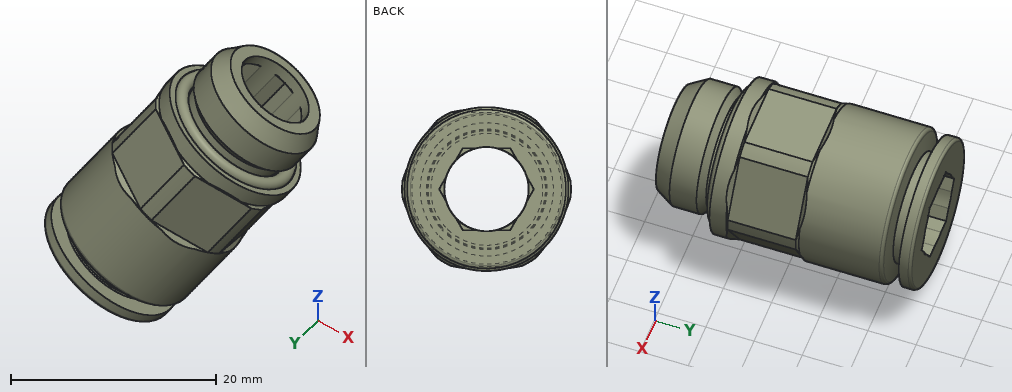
import cadquery as cq
import math

LENGTH = 27.3

THREAD_R = 6.5
TIP_CHAMFER_LENGTH = 1.8
TIP_CHAMFER_ANGLE = 30.0
THREAD_END_Y = 4.6
UNDERCUT_R = 5.77

SHOULDER_Y = 6.5
SEAL_OUTER_R = 7.3
SEAL_TUBE_R = 0.71

BODY_R = 8.0
BODY_END_Y = 24.43
BODY_EDGE_FILLET = 0.35

HEX_ACROSS_FLATS = 15.0
HEX_CORNER_R = 8.25
HEX_START_Y = 8.47
HEX_END_Y = 15.53
HEX_SIDES = 6
CUTTER_CLEARANCE = 1.0

COLLAR_NECK_R = 5.72
COLLAR_NECK_START_Y = 24.74
COLLAR_ROOT_R = 5.85
COLLAR_ROOT_LENGTH = 0.15
COLLAR_FLANGE_R = 7.75
COLLAR_FLANGE_THICKNESS = 1.25
COLLAR_EDGE_FILLET = 0.3

BORE_R = 4.1
SOCKET_ACROSS_FLATS = 8.0
SOCKET_START_Y = 1.2


def fillet_midpoint(centre, radius):
    """Middle of a quarter arc that faces outward (+radius) and forward (+Y) from its centre."""
    offset = radius * math.sqrt(0.5)
    return (centre[0] + offset, centre[1] + offset)


def turned_body():
    """Solid of revolution about Y, drawn as (radius, Y) from the tip to the collar."""
    tip_r = THREAD_R - TIP_CHAMFER_LENGTH * math.tan(math.radians(TIP_CHAMFER_ANGLE))
    undercut_y = THREAD_END_Y + THREAD_R - UNDERCUT_R
    hex_rise = HEX_CORNER_R - BODY_R
    body_top_r = BODY_R - BODY_EDGE_FILLET
    body_side_y = BODY_END_Y - BODY_EDGE_FILLET
    flange_y = LENGTH - COLLAR_FLANGE_THICKNESS
    flange_top_r = COLLAR_FLANGE_R - COLLAR_EDGE_FILLET
    flange_side_y = LENGTH - COLLAR_EDGE_FILLET

    profile = (
        cq.Workplane("XY")
        .moveTo(0, 0)
        .lineTo(tip_r, 0)
        .lineTo(THREAD_R, TIP_CHAMFER_LENGTH)
        .lineTo(THREAD_R, THREAD_END_Y)
        .lineTo(UNDERCUT_R, undercut_y)
        .lineTo(UNDERCUT_R, SHOULDER_Y)
        .lineTo(BODY_R, SHOULDER_Y)
        .lineTo(BODY_R, HEX_START_Y - hex_rise)
        .lineTo(HEX_CORNER_R, HEX_START_Y)
        .lineTo(HEX_CORNER_R, HEX_END_Y)
        .lineTo(BODY_R, HEX_END_Y + hex_rise)
        .lineTo(BODY_R, body_side_y)
        .threePointArc(
            fillet_midpoint((body_top_r, body_side_y), BODY_EDGE_FILLET),
            (body_top_r, BODY_END_Y),
        )
        .lineTo(COLLAR_NECK_R, COLLAR_NECK_START_Y)
        .lineTo(COLLAR_NECK_R, flange_y - COLLAR_ROOT_LENGTH)
        .lineTo(COLLAR_ROOT_R, flange_y)
        .lineTo(COLLAR_FLANGE_R, flange_y)
        .lineTo(COLLAR_FLANGE_R, flange_side_y)
        .threePointArc(
            fillet_midpoint((flange_top_r, flange_side_y), COLLAR_EDGE_FILLET),
            (flange_top_r, LENGTH),
        )
        .lineTo(0, LENGTH)
        .close()
    )
    return profile.revolve(360, (0, 0, 0), (0, 1, 0))


def seal_ring():
    """Half-round ring seated on the shoulder around the undercut."""
    centre_r = SEAL_OUTER_R - SEAL_TUBE_R
    profile = (
        cq.Workplane("XY")
        .moveTo(centre_r - SEAL_TUBE_R, SHOULDER_Y)
        .threePointArc((centre_r, SHOULDER_Y - SEAL_TUBE_R), (SEAL_OUTER_R, SHOULDER_Y))
        .close()
    )
    return profile.revolve(360, (0, 0, 0), (0, 1, 0))


def hex_flat_cutter():
    """Prism that mills the +Z flat, with 45 degree run-outs at both ends."""
    flat_z = HEX_ACROSS_FLATS / 2
    top_z = HEX_CORNER_R + CUTTER_CLEARANCE
    run_out = top_z - flat_z
    return (
        cq.Workplane("YZ")
        .moveTo(HEX_START_Y, flat_z)
        .lineTo(HEX_END_Y, flat_z)
        .lineTo(HEX_END_Y + run_out, top_z)
        .lineTo(HEX_START_Y - run_out, top_z)
        .close()
        .extrude(HEX_CORNER_R, both=True)
    )


def cut_hexagon(body):
    cutter = hex_flat_cutter()
    for side in range(HEX_SIDES):
        angle = side * 360 / HEX_SIDES
        body = body.cut(cutter.rotate((0, 0, 0), (0, 1, 0), angle))
    return body


def bore():
    return cq.Workplane("XZ").circle(BORE_R).extrude(-LENGTH)


def key_socket():
    """Hexagon with corners on the X axis, open at the collar and stopping behind the tip."""
    corner_diameter = SOCKET_ACROSS_FLATS / math.cos(math.pi / HEX_SIDES)
    return (
        cq.Workplane("XZ", origin=(0, SOCKET_START_Y, 0))
        .polygon(HEX_SIDES, corner_diameter)
        .extrude(-(LENGTH - SOCKET_START_Y))
    )


outside = cut_hexagon(turned_body().union(seal_ring()))
result = outside.cut(bore()).cut(key_socket())